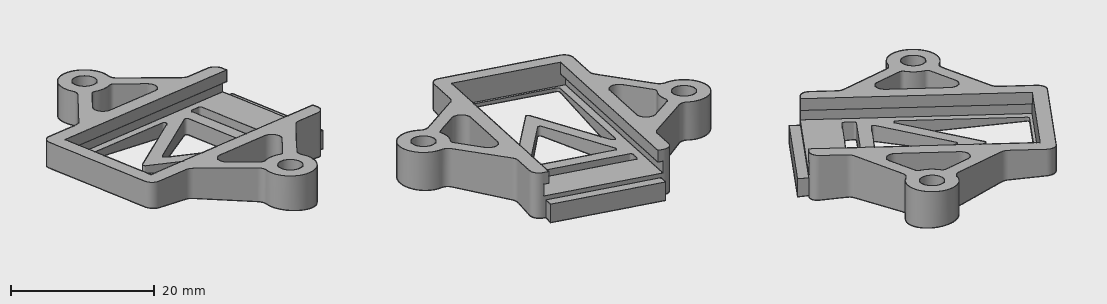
import cadquery as cq
import math

height = 7.12
overall_length = 36.1
overall_width = 47.5
slope_angle = 5.0
arm_width = 2.0

body_width = 21.38
tab_length = 1.55
corner_radius = 1.42
front_y = -overall_length / 2
back_y = overall_length / 2 - tab_length

boss_radius = 3.75
boss_x = overall_width / 2 - boss_radius
hole_diameter = 3.5
arm_reach = 21.38
arm_fillet = 1.42
boss_window_fillet = 0.7

channel_width = 16.7
channel_front_y = -15.85
lip_depth = 1.8
groove_width = 18.3
floor_depth = 3.6

tab_width = 17.65
tab_depth = 4.28

opening_width = 15.9
opening_front_y = -15.45
slot_back_y = 10.8
slot_length = 2.05
v_angle = 60.0
triangle_apex_y = -5.22
opening_fillet = 0.4


def block(width, y_start, y_end, z_bottom, z_top):
    """Box centred on X, spanning the given Y and Z ranges."""
    return (
        cq.Workplane("XY", origin=(0, 0, z_bottom))
        .rect(width, y_end - y_start)
        .extrude(z_top - z_bottom)
        .translate((0, (y_start + y_end) / 2, 0))
    )


def through_prism(points):
    """Full-height prism over a closed polygon."""
    return cq.Workplane("XY", origin=(0, 0, -height)).polyline(points).close().extrude(height)


def diamond(reach):
    return through_prism([(reach, 0), (0, reach), (-reach, 0), (0, -reach)])


def bosses(radius):
    return (
        cq.Workplane("XY", origin=(0, 0, -height))
        .pushPoints([(-boss_x, 0), (boss_x, 0)])
        .circle(radius)
        .extrude(height)
    )


def make_frame():
    """Tray body, arms and bosses as one full-height plate."""
    body = block(body_width, front_y, back_y, -height, 0).edges("|Z").fillet(corner_radius)
    line_offset = (arm_reach - boss_x) / math.sqrt(2)
    half_chord = math.sqrt(boss_radius**2 - line_offset**2)
    junction_x = boss_x + (line_offset - half_chord) / math.sqrt(2)
    junction_y = arm_reach - junction_x
    arm_limit = block(2 * boss_x, -back_y, back_y, -height, 0)
    frame = body.union(diamond(arm_reach).intersect(arm_limit)).union(bosses(boss_radius))
    shoulder_x = body_width / 2
    shoulder_y = arm_reach - shoulder_x
    for x, y in [(junction_x, junction_y), (shoulder_x, shoulder_y)]:
        for side_x in (-1, 1):
            for side_y in (-1, 1):
                corner = cq.selectors.NearestToPointSelector((side_x * x, side_y * y, -height / 2))
                frame = frame.edges(corner).fillet(arm_fillet)
    return frame


def make_arm_windows():
    """Rounded openings between the arms, the body and the bosses."""
    window_reach = arm_reach - arm_width * math.sqrt(2)
    windows = (
        diamond(window_reach)
        .cut(block(body_width, -arm_reach, arm_reach, -height, 0))
        .cut(bosses(boss_radius))
    )
    inner_x = body_width / 2 + corner_radius
    body_corners = cq.selectors.BoxSelector(
        (-inner_x, -arm_reach, -height), (inner_x, arm_reach, height)
    )
    windows = windows.edges("|Z").edges(body_corners).fillet(arm_fillet)
    for side in (-1, 1):
        boss_corners = cq.selectors.BoxSelector(
            (side * (boss_x - boss_radius), -boss_radius, -height),
            (side * boss_x, boss_radius, height),
        )
        windows = windows.edges("|Z").edges(boss_corners).fillet(boss_window_fillet)
    return windows


def make_channel():
    """T-shaped channel, open at the back and at the top."""
    mouth = block(channel_width, channel_front_y, back_y, -floor_depth, 0)
    groove = block(groove_width, channel_front_y, back_y, -floor_depth, -lip_depth)
    return mouth.union(groove)


def make_floor_openings():
    """Cross slot, triangle, and the opening in front of the V ribs."""
    v_slope = math.tan(math.radians(v_angle))
    slot_front_y = slot_back_y - slot_length
    triangle_back_y = slot_front_y - arm_width
    triangle_half = (triangle_back_y - triangle_apex_y) / v_slope
    v_tip_y = triangle_apex_y - arm_width / math.cos(math.radians(v_angle))
    half = opening_width / 2
    v_end_y = v_tip_y + half * v_slope

    slot = block(opening_width, slot_front_y, slot_back_y, -height, 0)
    triangle = through_prism(
        [(-triangle_half, triangle_back_y), (triangle_half, triangle_back_y), (0, triangle_apex_y)]
    )
    front_opening = through_prism(
        [
            (-half, opening_front_y),
            (half, opening_front_y),
            (half, v_end_y),
            (0, v_tip_y),
            (-half, v_end_y),
        ]
    )
    return [opening.edges("|Z").fillet(opening_fillet) for opening in (slot, triangle, front_opening)]


def make_underside_wedge():
    """Material removed below the sloping underside."""
    rise = overall_length * math.tan(math.radians(slope_angle))
    return (
        cq.Workplane("YZ")
        .polyline([(-front_y, -height), (front_y, -height), (front_y, rise - height)])
        .close()
        .extrude(overall_width, both=True)
    )


result = make_frame().cut(make_arm_windows()).cut(bosses(hole_diameter / 2)).cut(make_channel())
result = result.union(block(tab_width, back_y - tab_length, back_y + tab_length, -height, -tab_depth))
for opening in make_floor_openings():
    result = result.cut(opening)
result = result.cut(make_underside_wedge())